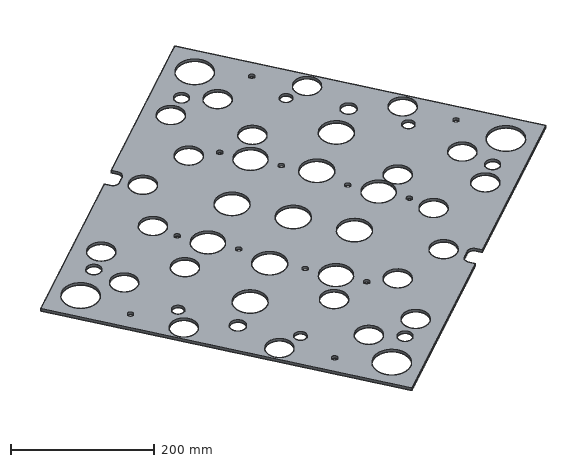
import cadquery as cq

width = 546.0
length = 596.0
thickness = 5.0

corner_diameter = 55.5
main_diameter = 50.5
group_diameter = 49.5
relief_diameter = 41.0
end_diameter = 24.5
side_diameter = 22.5
bolt_diameter = 19.0
pin_diameter = 9.0

notch_depth = 19.0
notch_width = 31.0
notch_radius = 9.5

column_spacing = 90.0
inner_row_y = 105.0
outer_row_y = 192.0
end_hole_y = 246.0
edge_relief_x = 221.0

group_x = 96.0
group_y = 95.0
group_stagger = 5.5
pin_offset = 45.0

inner_relief_x = 109.5
inner_relief_y = 150.0
close_relief_y = 133.0

quadrant_holes = [
    (229.0, 254.0, corner_diameter),
    (229.0, 195.0, side_diameter),
    (231.0, 155.0, relief_diameter),
    (180.0, 208.0, relief_diameter),
    (180.0, 80.0, relief_diameter),
    (70.5, 274.0, relief_diameter),
    (column_spacing, 240.0, bolt_diameter),
    (150.0, 270.0, pin_diameter),
]


def drill(plate, points, diameter):
    """Cut through holes of one diameter at the given points."""
    cutters = cq.Workplane("XY").pushPoints(points).circle(diameter / 2).extrude(thickness)
    return plate.cut(cutters)


def mirrored(x, y):
    """Return the point repeated in all four quadrants."""
    return [(x, y), (-x, y), (-x, -y), (x, -y)]


plate = cq.Workplane("XY").rect(width, length).extrude(thickness)

for side in (-1, 1):
    notch = (
        cq.Workplane("XY")
        .center(side * width / 2, 0)
        .rect(2 * notch_depth, notch_width)
        .extrude(thickness)
        .edges("|Z")
        .fillet(notch_radius)
    )
    plate = plate.cut(notch)

for x, y, diameter in quadrant_holes:
    plate = drill(plate, mirrored(x, y), diameter)

centre_points = [(x, 0) for x in (-column_spacing, 0, column_spacing)]
for y in (inner_row_y, outer_row_y):
    centre_points += [(0, y), (0, -y)]
plate = drill(plate, centre_points, main_diameter)
plate = drill(plate, [(0, end_hole_y), (0, -end_hole_y)], end_diameter)
plate = drill(plate, [(edge_relief_x, 0), (-edge_relief_x, 0)], relief_diameter)

for side in (-1, 1):
    for end in (-1, 1):
        x = side * group_x
        y = end * group_y - side * group_stagger
        plate = drill(plate, [(x, y)], group_diameter)
        plate = drill(plate, [(x - pin_offset, y), (x + pin_offset, y)], pin_diameter)

inner_relief_points = [
    (-inner_relief_x, inner_relief_y),
    (-inner_relief_x, -inner_relief_y),
    (inner_relief_x, -inner_relief_y),
    (inner_relief_x, close_relief_y),
]
plate = drill(plate, inner_relief_points, relief_diameter)

result = plate